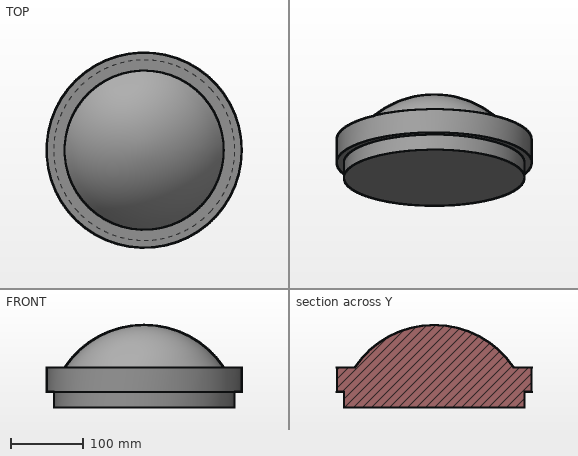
import cadquery as cq

total_height = 114.5
base_diameter = 250.0
base_height = 22.0
flange_diameter = 270.0
flange_height = 33.8
dome_diameter = 220.0

flange_top = base_height + flange_height
dome_height = total_height - flange_top
dome_radius = dome_diameter / 2
sphere_radius = (dome_radius**2 + dome_height**2) / (2 * dome_height)
sphere_center_z = total_height - sphere_radius


def make_disc(diameter, height, bottom_z):
    """Upright disc centred on the Z axis."""
    return cq.Workplane("XY").workplane(offset=bottom_z).circle(diameter / 2).extrude(height)


def make_dome():
    """Spherical cap standing on the flange top."""
    mid_x = dome_radius / 2
    mid_z = sphere_center_z + (sphere_radius**2 - mid_x**2) ** 0.5
    return (
        cq.Workplane("XZ")
        .moveTo(0, flange_top)
        .lineTo(dome_radius, flange_top)
        .threePointArc((mid_x, mid_z), (0, total_height))
        .close()
        .revolve(360, (0, 0, 0), (0, 1, 0))
    )


base = make_disc(base_diameter, base_height, 0)
flange = make_disc(flange_diameter, flange_height, base_height)

result = base.union(flange).union(make_dome())